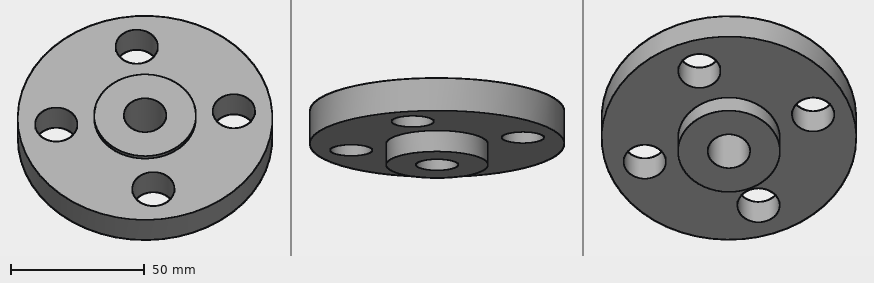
import cadquery as cq

flange_diameter = 95.25
flange_thickness = 12.7

hub_diameter = 38.1
hub_length = 8.1
raised_face_height = 1.6

bore_diameter = 15.8
bolt_hole_diameter = 15.8
bolt_circle_diameter = 66.7
bolt_count = 4
first_bolt_angle = 180.0 / bolt_count

body = (
    cq.Workplane("XY")
    .circle(flange_diameter / 2)
    .extrude(flange_thickness)
)

hub_and_face = (
    cq.Workplane("XY", origin=(0, 0, -hub_length))
    .circle(hub_diameter / 2)
    .extrude(hub_length + flange_thickness + raised_face_height)
)
body = body.union(hub_and_face)

body = body.faces(">Z").workplane().hole(bore_diameter)

bolt_holes = (
    cq.Workplane("XY")
    .polarArray(bolt_circle_diameter / 2, first_bolt_angle, 360, bolt_count)
    .circle(bolt_hole_diameter / 2)
    .extrude(flange_thickness)
)
result = body.cut(bolt_holes)